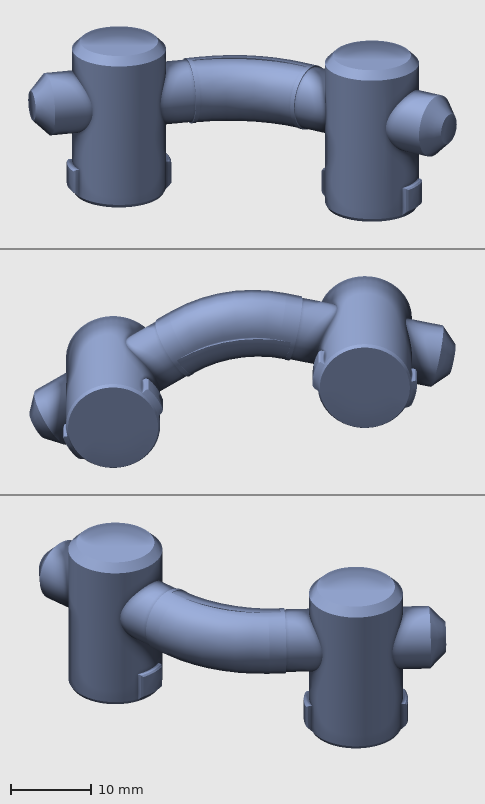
import cadquery as cq
import math

BEND_ANGLE = 45.0
LEG_LENGTH = 17.2
ASSEMBLY_TILT = -0.8

BARREL_RADIUS = 11.7 / 2
BARREL_HEIGHT = 20.05
TOP_CHAMFER = 1.0
BOTTOM_CHAMFER_HEIGHT = 0.45
BOTTOM_CHAMFER_WIDTH = 0.25

LUG_RADIUS = 6.5
LUG_WIDTH = 3.75
LUG_HEIGHT = 4.05
LUG_EDGE_CHAMFER = 0.2
LUG_FOOT_CHAMFER = 1.05

ROD_RADIUS = 7.8 / 2
NECK_RADIUS = 6.65 / 2
ROD_HEIGHT = 12.5
TIP_REACH = 11.15
TIP_CHAMFER = 2.0

SHELL_RADIUS = 8.15 / 2
INSERT_RADIUS = 8.0 / 2
OPENING_RADIUS = SHELL_RADIUS + 0.5
BEND_TANGENT = 6.25
INSERT_REACH = 7.8
SLEEVE_REACH = 8.35

DIRECTION = (math.cos(math.radians(BEND_ANGLE)), math.sin(math.radians(BEND_ANGLE)))
CORNER_X = -LEG_LENGTH
ROD_END = LEG_LENGTH + TIP_REACH


def right_leg_point(distance):
    """Point on the right leg's axis, at a distance from the corner."""
    return (CORNER_X + distance, 0)


def left_leg_point(distance):
    """Point on the left leg's axis, at a distance from the corner."""
    return (CORNER_X - distance * DIRECTION[0], -distance * DIRECTION[1])


def bend_path(tangent, reach):
    """Path from right to left around the bend, with straight ends where reach exceeds tangent."""
    half_angle = math.radians(BEND_ANGLE / 2)
    bend_radius = tangent / math.tan(half_angle)
    middle_offset = bend_radius * (1 / math.cos(half_angle) - 1)
    middle = (CORNER_X + middle_offset * math.sin(half_angle), -middle_offset * math.cos(half_angle))
    path = cq.Workplane("XY", origin=(0, 0, ROD_HEIGHT)).moveTo(*right_leg_point(reach))
    if reach > tangent:
        path = path.lineTo(*right_leg_point(tangent))
    path = path.threePointArc(middle, left_leg_point(tangent))
    if reach > tangent:
        path = path.lineTo(*left_leg_point(reach))
    return path


def section_at(reach):
    """Sketch plane across the right leg: local x runs along +Y, local y along +Z."""
    return cq.Workplane("YZ", origin=(CORNER_X + reach, 0, ROD_HEIGHT))


def inner_half_disc(reach, radius):
    """Half disc on the inside of the bend, the -Y side of the right leg's axis."""
    return section_at(reach).moveTo(0, -radius).threePointArc((-radius, 0), (0, radius)).close()


def leg_cylinder(radius, start, end, on_left):
    """Cylinder on one leg, between two distances from the corner."""
    point = left_leg_point(start) if on_left else right_leg_point(start)
    normal = (-DIRECTION[0], -DIRECTION[1], 0) if on_left else (1, 0, 0)
    plane = cq.Plane(origin=(*point, ROD_HEIGHT), xDir=(0, 0, 1), normal=normal)
    return cq.Workplane(plane).circle(radius).extrude(end - start)


def make_neck():
    return section_at(SLEEVE_REACH).circle(NECK_RADIUS).sweep(bend_path(BEND_TANGENT, SLEEVE_REACH))


def make_rod():
    """Bent rod with a thinner neck round the bend and a chamfered tip at each end."""
    rod = make_neck()
    for on_left in (False, True):
        leg = leg_cylinder(ROD_RADIUS, SLEEVE_REACH, ROD_END, on_left)
        rod = rod.union(leg.faces("<X" if on_left else ">X").chamfer(TIP_CHAMFER))
    return rod


def make_outer_shell():
    """Sleeve cut away on the inside of the bend, leaving a full collar at each end."""
    sleeve = section_at(SLEEVE_REACH).circle(SHELL_RADIUS).sweep(bend_path(BEND_TANGENT, SLEEVE_REACH))
    opening = inner_half_disc(INSERT_REACH, OPENING_RADIUS).sweep(bend_path(BEND_TANGENT, INSERT_REACH))
    return sleeve.cut(opening).cut(make_neck())


def make_inner_insert():
    """Half sleeve on the inside of the bend, on one wider arc, fitted between the collars."""
    insert = inner_half_disc(INSERT_REACH, INSERT_RADIUS).sweep(bend_path(INSERT_REACH, INSERT_REACH))
    return insert.cut(make_neck())


def make_lugs():
    """Two opposite lugs along X, with beveled edges and a conical foot."""
    lugs = cq.Workplane("XY").circle(LUG_RADIUS).extrude(LUG_HEIGHT)
    lugs = lugs.intersect(cq.Workplane("XY").rect(3 * LUG_RADIUS, LUG_WIDTH).extrude(LUG_HEIGHT))
    for end in (">X", "<X"):
        lugs = lugs.faces(end).edges("|Z or >Z").chamfer(LUG_EDGE_CHAMFER)
    foot_envelope = cq.Workplane("XY").circle(LUG_RADIUS).extrude(LUG_HEIGHT)
    return lugs.intersect(foot_envelope.faces("<Z").chamfer(LUG_FOOT_CHAMFER))


def make_barrel():
    """Upright barrel with two lugs and a cross hole for the rod along X."""
    barrel = cq.Workplane("XY").circle(BARREL_RADIUS).extrude(BARREL_HEIGHT)
    barrel = barrel.faces(">Z").chamfer(TOP_CHAMFER)
    barrel = barrel.faces("<Z").chamfer(BOTTOM_CHAMFER_HEIGHT, BOTTOM_CHAMFER_WIDTH)
    barrel = barrel.union(make_lugs())
    hole = cq.Workplane("YZ", origin=(0, 0, ROD_HEIGHT)).circle(ROD_RADIUS)
    return barrel.cut(hole.extrude(2 * BARREL_RADIUS, both=True))


def tilt(body):
    """Turn a body about the right barrel's axis into its final direction."""
    return body.rotate((0, 0, 0), (0, 0, 1), ASSEMBLY_TILT)


barrels = []
for position, angle in (((0, 0), 0), (left_leg_point(LEG_LENGTH), BEND_ANGLE)):
    barrel = make_barrel().rotate((0, 0, 0), (0, 0, 1), angle).translate((*position, 0))
    barrels.append(tilt(barrel))

rod = tilt(make_rod())
outer_shell = tilt(make_outer_shell())
inner_insert = tilt(make_inner_insert())

result = cq.Compound.makeCompound([
    *[barrel.solids().val() for barrel in barrels],
    rod.solids().val(),
    outer_shell.solids().val(),
    inner_insert.solids().val(),
])